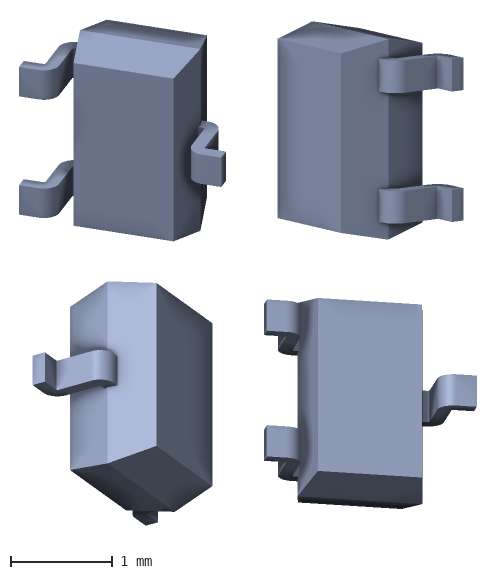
import cadquery as cq

OVERALL_WIDTH = 2.1

HOUSING_WIDTH = 1.25
HOUSING_LENGTH = 2.0
HOUSING_THICKNESS = 1.0
DRAFT_INSET = 0.105
HALF_THICKNESS = HOUSING_THICKNESS / 2

STANDOFF = 0.1
LEAD_THICKNESS = 0.14
LEAD_WIDTH = 0.323
LEAD_RISE = 0.701
LEAD_PITCH = 1.3
LEG_OFFSET = 0.223
INNER_BEND_RADIUS = 0.02
OUTER_BEND_RADIUS = INNER_BEND_RADIUS + LEAD_THICKNESS

FOOT_Y = -HALF_THICKNESS - STANDOFF
SHOULDER_Y = FOOT_Y + LEAD_RISE
LEAD_TIP_X = OVERALL_WIDTH / 2
LEG_OUTER_X = LEAD_TIP_X - LEG_OFFSET
LEG_INNER_X = LEG_OUTER_X - LEAD_THICKNESS
LEAD_ROOT_X = HOUSING_WIDTH / 2 - DRAFT_INSET


def make_housing_half(direction):
    """Tapered block from the parting plane towards +Y (direction 1) or -Y (direction -1)."""
    parting_plane = cq.Plane(origin=(0, 0, 0), xDir=(1, 0, 0), normal=(0, direction, 0))
    return (
        cq.Workplane(parting_plane)
        .rect(HOUSING_WIDTH, HOUSING_LENGTH)
        .workplane(offset=HALF_THICKNESS)
        .rect(HOUSING_WIDTH - 2 * DRAFT_INSET, HOUSING_LENGTH - 2 * DRAFT_INSET)
        .loft(ruled=True)
    )


def make_lead(side, center_z):
    """Gull-wing lead on the +X side (side 1) or the -X side (side -1)."""
    outline = [
        (LEAD_ROOT_X, SHOULDER_Y),
        (LEG_OUTER_X, SHOULDER_Y),
        (LEG_OUTER_X, FOOT_Y + LEAD_THICKNESS),
        (LEAD_TIP_X, FOOT_Y + LEAD_THICKNESS),
        (LEAD_TIP_X, FOOT_Y),
        (LEG_INNER_X, FOOT_Y),
        (LEG_INNER_X, SHOULDER_Y - LEAD_THICKNESS),
        (LEAD_ROOT_X, SHOULDER_Y - LEAD_THICKNESS),
    ]
    outer_corners = [(LEG_OUTER_X, SHOULDER_Y), (LEG_INNER_X, FOOT_Y)]
    inner_corners = [
        (LEG_OUTER_X, FOOT_Y + LEAD_THICKNESS),
        (LEG_INNER_X, SHOULDER_Y - LEAD_THICKNESS),
    ]
    lead = cq.Workplane("XY").polyline(outline).close().extrude(LEAD_WIDTH / 2, both=True)
    for corners, radius in ((outer_corners, OUTER_BEND_RADIUS), (inner_corners, INNER_BEND_RADIUS)):
        for x, y in corners:
            lead = lead.edges(cq.selectors.NearestToPointSelector((x, y, 0))).fillet(radius)
    if side < 0:
        lead = lead.mirror("YZ")
    return lead.translate((0, 0, center_z))


lead_places = [(-1, LEAD_PITCH / 2), (-1, -LEAD_PITCH / 2), (1, 0)]
leads = [make_lead(side, center_z) for side, center_z in lead_places]

housing_halves = [make_housing_half(1), make_housing_half(-1)]
for lead in leads:
    housing_halves = [half.cut(lead) for half in housing_halves]

result = cq.Compound.makeCompound([body.solids().val() for body in housing_halves + leads])